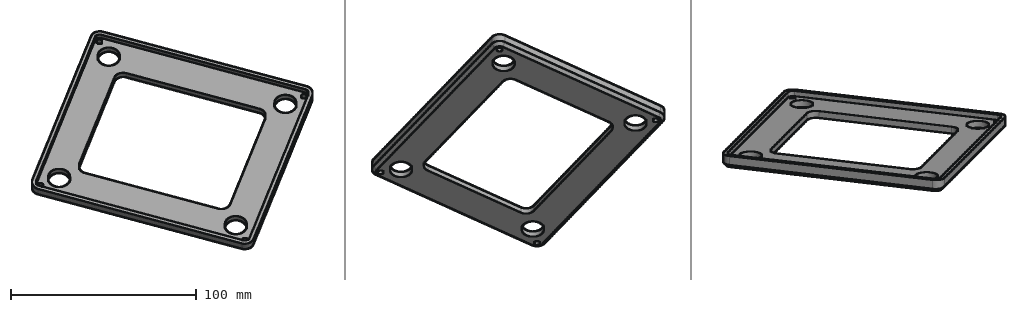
import cadquery as cq

length = 125.4
width = 110.4
height = 7.0
corner_radius = 5.0
bottom_chamfer = 2.0

rim_thickness = 2.3
recess_depth = 3.0
recess_radius = corner_radius - rim_thickness

window_length = 85.5
window_width = 70.0
window_radius = 5.0

screw_diameter = 3.0
screw_inset = 2.5
large_diameter = 12.0
large_spacing_x = 100.1
large_spacing_y = 85.0

recess_length = length - 2 * rim_thickness
recess_width = width - 2 * rim_thickness


def rounded_block(size_x, size_y, size_z, radius):
    """Block standing on the XY plane with rounded vertical edges."""
    block = cq.Workplane("XY").box(size_x, size_y, size_z, centered=(True, True, False))
    return block.edges("|Z").fillet(radius)


def corner_holes(spacing_x, spacing_y, diameter):
    """Four full-height cylinders at the corners of a rectangle."""
    centres = cq.Workplane("XY").rect(spacing_x, spacing_y, forConstruction=True).vertices()
    return centres.circle(diameter / 2).extrude(height)


plate = rounded_block(length, width, height, corner_radius)
plate = plate.faces("<Z").edges().chamfer(bottom_chamfer)

recess = rounded_block(recess_length, recess_width, recess_depth, recess_radius)
recess = recess.translate((0, 0, height - recess_depth))

window = rounded_block(window_length, window_width, height, window_radius)

screw_holes = corner_holes(
    recess_length - 2 * screw_inset,
    recess_width - 2 * screw_inset,
    screw_diameter,
)
large_holes = corner_holes(large_spacing_x, large_spacing_y, large_diameter)

result = plate.cut(recess).cut(window).cut(screw_holes).cut(large_holes)